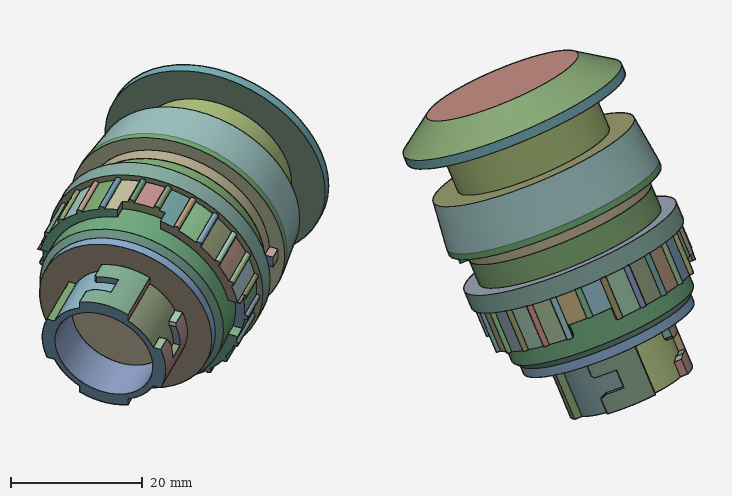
import cadquery as cq


socket_end = 9.0
spigot_end = 10.5
chamfer_end = 11.5
nut_front = 14.5
nut_notch_floor = 16.5
nut_flange_front = 21.5
nut_flange_back = 24.5
collar_front = 28.5
bezel_front = 30.5
bezel_rim_back = 31.5
bezel_back = 39.0
cap_front = 46.0
cap_rim_back = 47.5
cap_back = 51.5

spigot_diameter = 28.16
body_diameter = 30.0
collar_diameter = 30.1
nut_diameter = 33.0
nut_flange_diameter = 35.0
bezel_diameter = 35.0
bezel_back_diameter = 33.2
neck_diameter = 25.0
cap_diameter = 36.0
cap_back_diameter = 25.0

rib_count = 25
rib_radius = 0.5
rib_tip_diameter = 34.1
notch_count = 4
notch_width = 7.0

key_reach = 16.4
key_width = 2.0

socket_diameter = 18.0
bore_diameter = 16.0
bore_depth = 7.0
lug_count = 4
lug_diameter = 20.2
lug_width = 7.9
slot_front = 3.0
slot_back = 6.0
slot_lead_in_length = 1.1
slot_lead_in_height = 0.5
slot_corner_break = 0.4


def disc(diameter, start, end):
    """Solid cylinder on the Y axis between two stations."""
    plane = cq.Plane(origin=(0, start, 0), xDir=(1, 0, 0), normal=(0, 1, 0))
    return cq.Workplane(plane).circle(diameter / 2).extrude(end - start)


def block(width, start, end, bottom, top):
    """Box centred on X = 0, from start to end in Y and bottom to top in Z."""
    centre = (0, (start + end) / 2, (bottom + top) / 2)
    return cq.Workplane("XY").box(width, end - start, top - bottom).translate(centre)


def turn(shape, angle):
    """Rotate a shape about the Y axis."""
    return shape.rotate((0, 0, 0), (0, 1, 0), angle)


def make_turned_body():
    """Spigot, body, bezel, neck and mushroom cap as one turned solid."""
    outline = [
        (0, socket_end),
        (spigot_diameter / 2, socket_end),
        (spigot_diameter / 2, spigot_end),
        (body_diameter / 2, chamfer_end),
        (body_diameter / 2, collar_front),
        (collar_diameter / 2, collar_front),
        (collar_diameter / 2, bezel_front),
        (bezel_diameter / 2, bezel_front),
        (bezel_diameter / 2, bezel_rim_back),
        (bezel_back_diameter / 2, bezel_back),
        (neck_diameter / 2, bezel_back),
        (neck_diameter / 2, cap_front),
        (cap_diameter / 2, cap_front),
        (cap_diameter / 2, cap_rim_back),
        (cap_back_diameter / 2, cap_back),
        (0, cap_back),
    ]
    return cq.Workplane("XY").polyline(outline).close().revolve(360, (0, 0, 0), (0, 1, 0))


def make_nut():
    """Flanged ring nut with round grip ribs and four notches in its front face."""
    nut = disc(nut_flange_diameter, nut_flange_front, nut_flange_back)
    nut = nut.union(disc(nut_diameter, nut_front, nut_flange_front))
    rib_centre = rib_tip_diameter / 2 - rib_radius
    rib = disc(2 * rib_radius, nut_front, nut_flange_front).translate((0, 0, -rib_centre))
    for index in range(rib_count):
        nut = nut.union(turn(rib, index * 360 / rib_count))
    notch = block(notch_width, nut_front, nut_notch_floor, 0, nut_flange_diameter / 2)
    for index in range(notch_count):
        nut = nut.cut(turn(notch, index * 360 / notch_count))
    return nut


def make_key():
    """Locating key on the +X side, in front of the bezel."""
    key_angle = 90
    return turn(block(key_width, collar_front, bezel_front, 0, key_reach), key_angle)


def make_lug():
    """Bayonet lug at +Z with an L-shaped slot open on its -X side."""
    lug = block(lug_width, 0, socket_end, 0, lug_diameter / 2)
    lug = lug.intersect(disc(lug_diameter, 0, socket_end))
    side = -lug_width / 2
    slot_outline = [
        (0, slot_front),
        (0, slot_back),
        (side + slot_corner_break, slot_back),
        (side, slot_back + slot_corner_break),
        (side, slot_front - slot_lead_in_height),
        (side + slot_lead_in_length, slot_front),
    ]
    slot = cq.Workplane("XY").polyline(slot_outline).close().extrude(lug_diameter / 2)
    return lug.cut(slot)


def make_socket():
    """Socket tube with bayonet lugs."""
    socket = disc(socket_diameter, 0, socket_end)
    lug = make_lug()
    for index in range(lug_count):
        socket = socket.union(turn(lug, index * 360 / lug_count))
    return socket


bore = disc(bore_diameter, 0, bore_depth)
result = make_nut().union(make_turned_body()).union(make_key()).union(make_socket()).cut(bore)